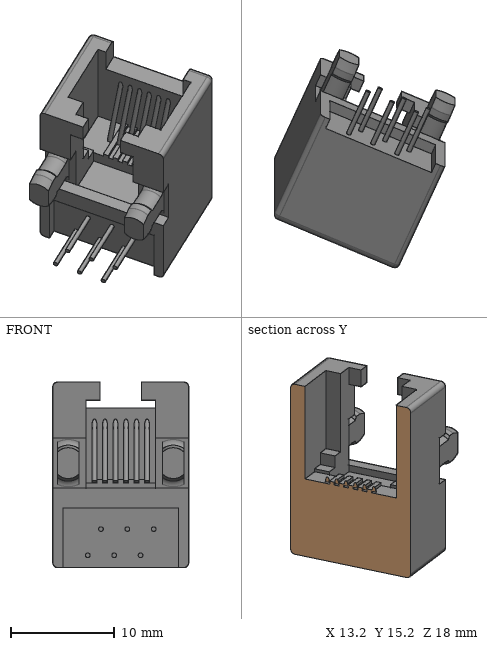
import cadquery as cq
import math


body_width = 13.2
body_depth = 11.5
body_height = 18.0
edge_radius = 0.5

cavity_width = 9.94
channel_width = 6.7
rear_wall = 1.8
cavity_back = body_depth - rear_wall
shoulder_front = 2.9
shoulder_back = 5.25
shoulder_middle = (shoulder_front + shoulder_back) / 2
high_shoulder_z = 9.75
rib_top_z = 8.53
rear_floor_z = 8.23
channel_floor_z = 7.0

latch_slot_width = 4.0
latch_lip_height = 1.78
rear_notch_width = 8.28
rear_notch_depth = 2.5

setback = 1.2
setback_bottom_z = 7.7
setback_top_z = 12.56

pin_pocket_width = 11.2
pin_pocket_height = 5.8
pin_pocket_depth = 1.0

pin_count = 6
pin_diameter = 0.45
pin_pitch = 1.28
pin_tip_y = -3.75
pin_row_low_z = 1.2
pin_row_high_z = 3.75

wire_diameter = 0.47
wire_span = 5.1
wire_pitch = wire_span / (pin_count - 1)
wire_tilt = 24.5
wire_end_y = 7.2
wire_end_z = 8.35
wire_embed = 0.54
rib_width = 0.52

peg_offset = 5.1
peg_width = 2.05
peg_z = (setback_bottom_z + setback_top_z) / 2
peg_radius = 1.5
peg_collar_radius = 1.75
peg_root_fillet = 0.8
peg_collar_start_y = -1.5
peg_collar_full_y = -1.75
peg_taper_y = -2.47
peg_tip_y = -3.5


def centred_block(width, y_range, z_range):
    """Box centred on X = 0 that spans the given Y and Z ranges."""
    depth = y_range[1] - y_range[0]
    height = z_range[1] - z_range[0]
    return (
        cq.Workplane("XY")
        .box(width, depth, height, centered=(True, False, False))
        .translate((0, y_range[0], z_range[0]))
    )


def centred_positions(count, pitch):
    """X positions of evenly spaced items centred on X = 0."""
    return [(i - (count - 1) / 2) * pitch for i in range(count)]


def make_housing():
    """Rounded block with the setback band and the pin pocket cut into its mounting face."""
    block = centred_block(body_width, (0, body_depth), (0, body_height))
    block = block.edges("|Y or >Y").fillet(edge_radius)
    band = centred_block(body_width, (0, setback), (setback_bottom_z, setback_top_z))
    pocket = centred_block(pin_pocket_width, (0, pin_pocket_depth), (0, pin_pocket_height))
    return block.cut(band).cut(pocket)


def make_cavity():
    """Everything removed for the plug, its latch and the notch in the rear wall."""
    top = body_height
    lip_bottom = top - latch_lip_height
    cavity = centred_block(cavity_width, (shoulder_back, cavity_back), (rear_floor_z, top))
    openings = [
        centred_block(cavity_width, (shoulder_middle, shoulder_back), (rib_top_z, top)),
        centred_block(cavity_width, (shoulder_front, shoulder_middle), (high_shoulder_z, top)),
        centred_block(channel_width, (setback, shoulder_back), (channel_floor_z, top)),
        centred_block(channel_width, (0, setback), (setback_bottom_z, lip_bottom)),
        centred_block(latch_slot_width, (0, setback), (lip_bottom, top)),
        centred_block(rear_notch_width, (cavity_back, body_depth), (top - rear_notch_depth, top)),
    ]
    for opening in openings:
        cavity = cavity.union(opening)
    return cavity


def make_rib(x):
    """Low rib on the rear floor between two contact wires."""
    rib = centred_block(rib_width, (shoulder_back, cavity_back), (rear_floor_z, rib_top_z))
    return rib.translate((x, 0, 0))


def make_wire(x):
    """Contact wire that slopes down and forward out of the rear wall."""
    tilt = math.radians(wire_tilt)
    length = (cavity_back + wire_embed - wire_end_y) / math.sin(tilt)
    start = cq.Vector(x, wire_end_y, wire_end_z)
    direction = cq.Vector(0, math.sin(tilt), math.cos(tilt))
    return cq.Workplane(cq.Solid.makeCylinder(wire_diameter / 2, length, start, direction))


def make_pin(x, z):
    """Solder pin standing on the pocket face."""
    length = pin_pocket_depth - pin_tip_y
    start = cq.Vector(x, pin_pocket_depth, z)
    direction = cq.Vector(0, -1, 0)
    return cq.Workplane(cq.Solid.makeCylinder(pin_diameter / 2, length, start, direction))


def make_peg(x):
    """Turned peg with a flared root and a snap collar, flattened on both sides."""
    root_end_y = setback - peg_root_fillet
    arc_inset = peg_root_fillet * (1 - math.sqrt(0.5))
    profile = (
        cq.Workplane("XY")
        .moveTo(0, setback)
        .lineTo(peg_radius + peg_root_fillet, setback)
        .threePointArc((peg_radius + arc_inset, setback - arc_inset), (peg_radius, root_end_y))
        .lineTo(peg_radius, peg_collar_start_y)
        .lineTo(peg_collar_radius, peg_collar_full_y)
        .lineTo(peg_collar_radius, peg_taper_y)
        .lineTo(peg_radius, peg_tip_y)
        .lineTo(0, peg_tip_y)
        .close()
    )
    turned = profile.revolve(360, (0, 0, 0), (0, 1, 0))
    reach = peg_radius + peg_root_fillet
    flats = centred_block(peg_width, (peg_tip_y, setback), (-reach, reach))
    return turned.intersect(flats).translate((x, 0, peg_z))


result = make_housing().cut(make_cavity())

for rib_x in centred_positions(pin_count - 1, wire_pitch):
    result = result.union(make_rib(rib_x))

for wire_x in centred_positions(pin_count, wire_pitch):
    result = result.union(make_wire(wire_x))

for index, pin_x in enumerate(centred_positions(pin_count, pin_pitch)):
    row_z = pin_row_low_z if index % 2 == 0 else pin_row_high_z
    result = result.union(make_pin(pin_x, row_z))

for side in (-1, 1):
    result = result.union(make_peg(side * peg_offset))